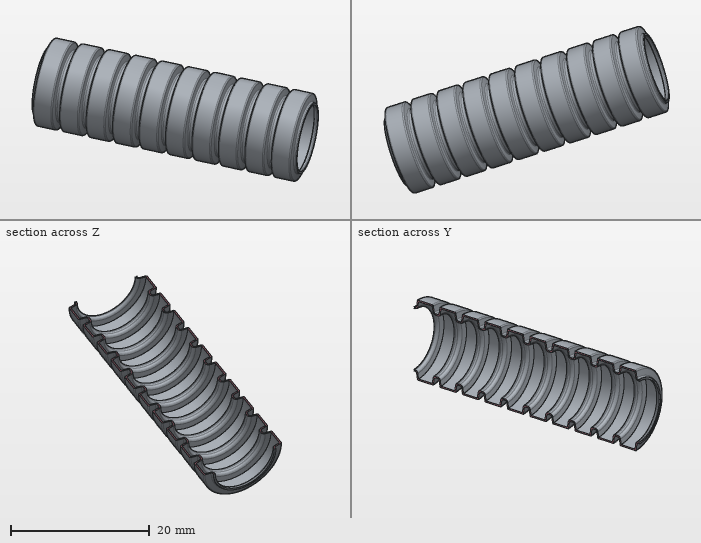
import cadquery as cq
import math

length = 40.0
rib_count = 10
pitch = length / rib_count
wall = 0.3

crest_radius = 13.0 / 2
valley_radius = 10.4 / 2
valley_half_width = 0.35
flank_angle = 9.0
outer_round = 0.2

bore_crest_radius = crest_radius - wall
bore_valley_radius = valley_radius - wall
corner_shift = wall * math.tan(math.radians(45 - flank_angle / 2))
bore_valley_half_width = valley_half_width + corner_shift
bore_round = outer_round + wall


def corrugated_bar(low_radius, high_radius, low_half_width):
    """Solid of revolution about X with one trapezoidal rib per pitch."""
    flank_run = (high_radius - low_radius) * math.tan(math.radians(flank_angle))
    high_start = low_half_width + flank_run
    profile = cq.Workplane("XY").moveTo(0, 0).lineTo(0, low_radius)
    for rib in range(rib_count):
        start = rib * pitch
        end = start + pitch
        profile = (
            profile.lineTo(start + low_half_width, low_radius)
            .lineTo(start + high_start, high_radius)
            .lineTo(end - high_start, high_radius)
            .lineTo(end - low_half_width, low_radius)
        )
    profile = profile.lineTo(length, low_radius).lineTo(length, 0).close()
    return profile.revolve(360, (0, 0, 0), (1, 0, 0))


def round_corners(bar, corner_radius, fillet_radius):
    """Round the circular edges of the given radius, except at the two ends."""
    tolerance = 0.005

    def is_corner(edge):
        right_radius = abs(edge.radius() - corner_radius) < tolerance
        return right_radius and tolerance < edge.Center().x < length - tolerance

    return bar.edges("%CIRCLE").filter(is_corner).fillet(fillet_radius)


outside = corrugated_bar(valley_radius, crest_radius, valley_half_width)
outside = round_corners(outside, crest_radius, outer_round)
outside = round_corners(outside, valley_radius, outer_round)

bore = corrugated_bar(bore_valley_radius, bore_crest_radius, bore_valley_half_width)
bore = round_corners(bore, bore_valley_radius, bore_round)

result = outside.cut(bore)